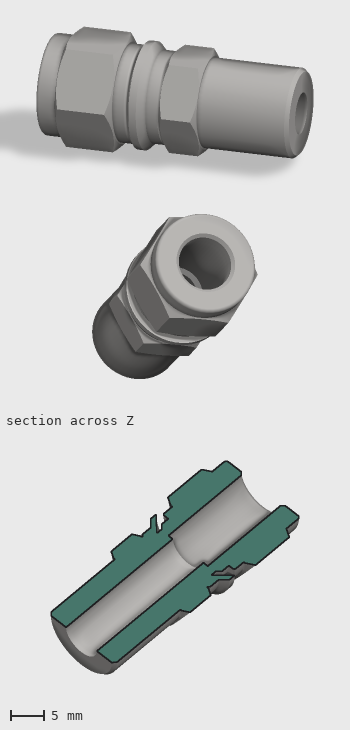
import cadquery as cq
import math


nut_hex_start = 3.0
nut_hex_end = 11.97
skirt_end = 14.0
flange_start = 14.68
neck_end = 15.45
flange_edge_end = 15.85
shoulder_end = 18.85
relief_start = 19.0
body_hex_start = 19.15
body_hex_end = 25.0
overall_length = 39.27

collar_diameter = 15.5
skirt_diameter = 15.0
neck_diameter = 12.7
undercut_diameter = 11.4
flange_diameter = 16.5
dish_diameter = 16.15
shoulder_diameter = 14.2
pipe_diameter = 13.7
pipe_end_diameter = 12.7

nut_across_flats = 15.875
body_across_flats = 14.2875
hex_chamfer_angle = 30.0

collar_fillet = 0.5
skirt_fillet = 0.35
pipe_chamfer_length = 0.6

socket_diameter = 8.14
socket_depth = 16.2
socket_chamfer = 0.5
bore_diameter = 6.35


def cylinder(start, end, diameter):
    """Solid cylinder about X between two stations."""
    return cq.Workplane("YZ", origin=(start, 0, 0)).circle(diameter / 2).extrude(end - start)


def revolve_profile(points):
    """Solid of revolution about X from (station, radius) points."""
    return cq.Workplane("XY").polyline(points).close().revolve(360, (0, 0, 0), (1, 0, 0))


def chamfered_hex(start, end, across_flats, face_diameter):
    """Hexagonal prism whose corners are turned off by a cone at each end."""
    corner_diameter = across_flats / math.cos(math.radians(30))
    prism = cq.Workplane("YZ", origin=(start, 0, 0)).polygon(6, corner_diameter).extrude(end - start)
    face_radius = face_diameter / 2
    corner_radius = corner_diameter / 2
    chamfer_length = (corner_radius - face_radius) * math.tan(math.radians(hex_chamfer_angle))
    envelope = revolve_profile([
        (start, 0),
        (start, face_radius),
        (start + chamfer_length, corner_radius),
        (end - chamfer_length, corner_radius),
        (end, face_radius),
        (end, 0),
    ])
    return prism.intersect(envelope)


def make_nut():
    """Hex nut with a round collar in front and a round skirt behind."""
    collar = cylinder(0, nut_hex_start, collar_diameter).faces("<X").edges().fillet(collar_fillet)
    hexagon = chamfered_hex(nut_hex_start, nut_hex_end, nut_across_flats, collar_diameter)
    skirt = cylinder(nut_hex_end, skirt_end, skirt_diameter).faces(">X").edges().fillet(skirt_fillet)
    return collar.union(hexagon).union(skirt)


def make_neck_and_flange():
    """Neck with an undercut, and a flange dished around it that tapers to a shoulder and a relief.

    The end of the neck, the dish and the taper are all 45 degree cones.
    """
    neck_radius = neck_diameter / 2
    dish_radius = dish_diameter / 2
    undercut_radius = undercut_diameter / 2
    undercut_start = neck_end + neck_radius - undercut_radius
    dish_bottom = flange_start + dish_radius - undercut_radius
    flange_radius = flange_diameter / 2
    shoulder_radius = shoulder_diameter / 2
    relief_radius = pipe_diameter / 2
    taper_end = flange_edge_end + flange_radius - shoulder_radius
    return revolve_profile([
        (skirt_end, 0),
        (skirt_end, neck_radius),
        (neck_end, neck_radius),
        (undercut_start, undercut_radius),
        (dish_bottom, undercut_radius),
        (flange_start, dish_radius),
        (flange_start, flange_radius),
        (flange_edge_end, flange_radius),
        (taper_end, shoulder_radius),
        (shoulder_end, shoulder_radius),
        (relief_start, relief_radius),
        (body_hex_start, relief_radius),
        (body_hex_start, 0),
    ])


def make_pipe():
    """Plain pipe stub with a bevelled free end."""
    bevel_start = overall_length - pipe_chamfer_length
    return revolve_profile([
        (body_hex_end, 0),
        (body_hex_end, pipe_diameter / 2),
        (bevel_start, pipe_diameter / 2),
        (overall_length, pipe_end_diameter / 2),
        (overall_length, 0),
    ])


def make_bore():
    """Tube socket with a chamfered mouth, followed by the through bore."""
    socket_radius = socket_diameter / 2
    bore_radius = bore_diameter / 2
    return revolve_profile([
        (0, 0),
        (0, socket_radius + socket_chamfer),
        (socket_chamfer, socket_radius),
        (socket_depth, socket_radius),
        (socket_depth, bore_radius),
        (overall_length, bore_radius),
        (overall_length, 0),
    ])


body_hex = chamfered_hex(body_hex_start, body_hex_end, body_across_flats, shoulder_diameter)

result = (
    make_nut()
    .union(make_neck_and_flange())
    .union(body_hex)
    .union(make_pipe())
    .cut(make_bore())
)